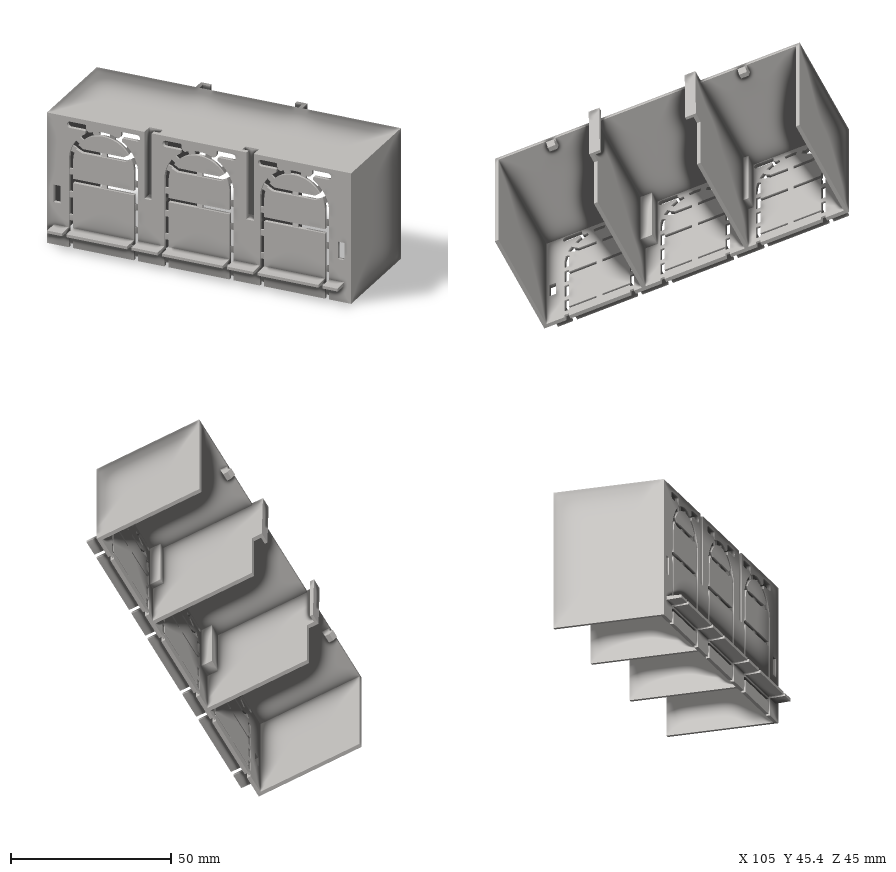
import cadquery as cq
import math


WIDTH = 105.0
DEPTH = 36.6
HEIGHT = 45.0
WALL = 1.3

POLE_PITCH = 33.0
POLES = (-POLE_PITCH, 0.0, POLE_PITCH)
WINDOW_RADIUS = 12.0
GAP = 1.5
PANEL_RADIUS = WINDOW_RADIUS - GAP
ARCH_Z = 30.0

LOW_GAP_Z = 4.1
LOW_GAP = 0.9
MID_GAP_Z = 22.5
TOP_GAP_Z = 33.4
TOP_GAP_LOW_FLAT = 7.6
TOP_GAP_LOW_ANGLE = 26.0
TOP_GAP_HIGH_FLAT = 7.0
TOP_GAP_HIGH_ANGLE = 34.0

BRIDGE = 2.0
BRIDGE_RECESS = 0.6
BRIDGE_STEP = 0.28
SIDE_BRIDGE_Z = 2.2
SIDE_BRIDGE_PITCH = 7.93
SIDE_BRIDGES = 4
ARCH_BRIDGE_ANGLES = (15.0, 49.0, 70.0)

LEDGE_HALF_WIDTH = 50.1
LEDGE_REACH = 4.9
LEDGE_TOP_Z = 6.9
LEDGE_ROOT = 1.3
LEDGE_TIP = 0.9
LEDGE_DROP = 0.1

VENT_OUTER_X = 12.6
VENT_INNER_X = 6.0
VENT_HEIGHT = 2.2
VENT_Z = 41.3
VENT_CORNER = 0.5
VENT_NECK_X = 6.4
VENT_NECK_RADIUS = 1.5
VENT_LIP = 0.4

SIDE_SLOT_X = 49.0
SIDE_SLOT_WIDTH = 2.3
SIDE_SLOT_Z = 14.6
SIDE_SLOT_HEIGHT = 6.0

HOOK_X = 18.4
HOOK_STEM = 1.3
HOOK_FOOT = 3.7
HOOK_REACH = 3.9
HOOK_LIP = 1.4
HOOK_BOTTOM_Z = 22.5
HOOK_DRAFT = 0.4
GROOVE_CLEARANCE = 0.5
GROOVE_NECK = 2.5
GROOVE_WIDTH = 4.6
GROOVE_MOUTH = 1.6
GROOVE_DEPTH = 3.8
GROOVE_FLOOR_Z = 21.9
GROOVE_LINER = 1.3

SNAP_WIDTH = 2.6
SNAP_REACH = 1.3
SNAP_TOP = 2.9
SNAP_PEAK = 3.6
SNAP_BOTTOM = 5.0
SNAP_ROOT = 2.6
SNAP_FACE_ANGLE = 15.7


def box(x0, x1, y0, y1, z0, z1):
    """Box between two opposite corners."""
    return cq.Workplane("XY").box(x1 - x0, y1 - y0, z1 - z0, centered=False).translate((x0, y0, z0))


def front_plane(y=0.0):
    """Workplane of front outlines (X, Z); a negative extrusion goes back into the part."""
    return cq.Workplane("XZ", origin=(0, y, 0))


def side_prism(points, x_middle, width):
    """(Y, Z) outline extruded along X, centred on x_middle."""
    return cq.Workplane("YZ", origin=(x_middle - width / 2, 0, 0)).polyline(points).close().extrude(width)


def arched_slab(radius, y=0.0):
    """Straight-sided slab with a round top, from y to the back of the front wall."""
    return (
        front_plane(y)
        .moveTo(-radius, 0)
        .lineTo(-radius, ARCH_Z)
        .threePointArc((0, ARCH_Z + radius), (radius, ARCH_Z))
        .lineTo(radius, 0)
        .close()
        .extrude(y - WALL)
    )


def ledge(x_middle, half_width):
    """Tapered ledge standing out of the front face."""
    points = [
        (0, LEDGE_TOP_Z),
        (-LEDGE_REACH, LEDGE_TOP_Z - LEDGE_DROP),
        (-LEDGE_REACH, LEDGE_TOP_Z - LEDGE_DROP - LEDGE_TIP),
        (0, LEDGE_TOP_Z - LEDGE_ROOT),
    ]
    return side_prism(points, x_middle, 2 * half_width)



def top_gap():
    """Cutter for the highest gap, straight in the middle and bent upward at both ends."""
    low_rise = (WINDOW_RADIUS - TOP_GAP_LOW_FLAT) * math.tan(math.radians(TOP_GAP_LOW_ANGLE))
    high_rise = (WINDOW_RADIUS - TOP_GAP_HIGH_FLAT) * math.tan(math.radians(TOP_GAP_HIGH_ANGLE))
    high_z = TOP_GAP_Z + GAP
    points = [
        (-WINDOW_RADIUS, TOP_GAP_Z + low_rise),
        (-TOP_GAP_LOW_FLAT, TOP_GAP_Z),
        (TOP_GAP_LOW_FLAT, TOP_GAP_Z),
        (WINDOW_RADIUS, TOP_GAP_Z + low_rise),
        (WINDOW_RADIUS, high_z + high_rise),
        (TOP_GAP_HIGH_FLAT, high_z),
        (-TOP_GAP_HIGH_FLAT, high_z),
        (-WINDOW_RADIUS, high_z + high_rise),
    ]
    return front_plane().polyline(points).close().extrude(-WALL)


def leaf_bridge(gap_z, gap_height):
    """Bridge between two leaves of a panel, its front face leaning back toward the top."""
    points = [
        (BRIDGE_RECESS - BRIDGE_STEP, gap_z),
        (WALL, gap_z),
        (WALL, gap_z + gap_height),
        (BRIDGE_RECESS, gap_z + gap_height),
    ]
    return side_prism(points, 0, BRIDGE)


def frame_bridges():
    """All bridges from one panel across the surrounding gap to the window edge."""
    bars = cq.Workplane("XY")
    for index in range(SIDE_BRIDGES):
        middle = SIDE_BRIDGE_Z + index * SIDE_BRIDGE_PITCH
        bars = bars.add(
            box(-WINDOW_RADIUS, WINDOW_RADIUS, BRIDGE_RECESS, WALL, middle - BRIDGE / 2, middle + BRIDGE / 2)
        )
    spoke = box(-BRIDGE / 2, BRIDGE / 2, BRIDGE_RECESS, WALL, ARCH_Z, ARCH_Z + WINDOW_RADIUS + GAP)
    for angle in ARCH_BRIDGE_ANGLES:
        for turn in (-angle, angle):
            bars = bars.add(spoke.rotate((0, 0, ARCH_Z), (0, 1, ARCH_Z), turn))
    ring = arched_slab(WINDOW_RADIUS, BRIDGE_RECESS).cut(arched_slab(PANEL_RADIUS, BRIDGE_RECESS))
    return ring.intersect(bars.combine())


def make_panel():
    """Break-out panel of the pole at X = 0."""
    leaves = arched_slab(PANEL_RADIUS).union(ledge(0, PANEL_RADIUS))
    for gap_z, gap_height in ((LOW_GAP_Z, LOW_GAP), (MID_GAP_Z, GAP)):
        leaves = leaves.cut(box(-PANEL_RADIUS, PANEL_RADIUS, 0, WALL, gap_z, gap_z + gap_height))
        leaves = leaves.union(leaf_bridge(gap_z, gap_height))
    leaves = leaves.cut(top_gap()).union(leaf_bridge(TOP_GAP_Z, GAP))
    return leaves.union(frame_bridges())



def shell():
    """Front wall, roof and side walls, open at the back and the bottom."""
    outer = box(-WIDTH / 2, WIDTH / 2, 0, DEPTH, 0, HEIGHT)
    inner_x = WIDTH / 2 - WALL
    return outer.cut(box(-inner_x, inner_x, WALL, DEPTH, 0, HEIGHT - WALL))


def vent():
    """Cutter for the left ventilation slot of the pole at X = 0, with its neck into the window."""
    end_radius = VENT_HEIGHT / 2
    top = VENT_Z + VENT_HEIGHT
    diagonal = math.sqrt(0.5)
    arc_x = -VENT_INNER_X + VENT_NECK_RADIUS
    arc_z = VENT_Z + end_radius
    corner_x = -VENT_INNER_X - VENT_CORNER
    corner_z = top - VENT_CORNER
    lip_x = -VENT_NECK_X - VENT_LIP
    lip_z = VENT_Z - VENT_LIP
    neck_end_z = ARCH_Z + PANEL_RADIUS * diagonal
    return (
        front_plane()
        .moveTo(-VENT_OUTER_X + end_radius, VENT_Z)
        .threePointArc((-VENT_OUTER_X, arc_z), (-VENT_OUTER_X + end_radius, top))
        .lineTo(corner_x, top)
        .threePointArc((corner_x + VENT_CORNER * diagonal, corner_z + VENT_CORNER * diagonal),
                       (-VENT_INNER_X, corner_z))
        .lineTo(-VENT_INNER_X, arc_z)
        .threePointArc((arc_x - VENT_NECK_RADIUS * diagonal, arc_z - VENT_NECK_RADIUS * diagonal),
                       (arc_x, arc_z - VENT_NECK_RADIUS))
        .lineTo(arc_x, neck_end_z)
        .lineTo(-VENT_NECK_X, neck_end_z)
        .lineTo(-VENT_NECK_X, lip_z)
        .threePointArc((lip_x + VENT_LIP * diagonal, lip_z + VENT_LIP * diagonal), (lip_x, VENT_Z))
        .close()
        .extrude(-WALL)
    )


def hook_rib():
    """Left hook and the full-height partition that carries it."""
    stem_x = -HOOK_X
    back = DEPTH + HOOK_REACH
    partition = box(stem_x, stem_x + HOOK_STEM, WALL, DEPTH, 0, HEIGHT)
    hook = box(stem_x, stem_x + HOOK_STEM, DEPTH, back, HOOK_BOTTOM_Z, HEIGHT).union(
        box(stem_x, stem_x + HOOK_FOOT, back - HOOK_LIP, back, HOOK_BOTTOM_Z, HEIGHT)
    )
    profile = [
        (DEPTH, HOOK_BOTTOM_Z),
        (back - HOOK_DRAFT, HOOK_BOTTOM_Z),
        (back, HEIGHT),
        (DEPTH, HEIGHT),
    ]
    return partition.union(hook.intersect(side_prism(profile, stem_x, 4 * HOOK_FOOT)))


def groove():
    """Cutter for the left L-shaped groove, open at the roof and the front."""
    left = -HOOK_X - GROOVE_CLEARANCE
    mouth = box(left, left + GROOVE_NECK, 0, GROOVE_DEPTH, GROOVE_FLOOR_Z, HEIGHT)
    return mouth.union(box(left, left + GROOVE_WIDTH, GROOVE_MOUTH, GROOVE_DEPTH, GROOVE_FLOOR_Z, HEIGHT))


def groove_boss():
    """Block behind the front wall that encloses the left groove."""
    left = -HOOK_X - GROOVE_CLEARANCE
    return box(
        left - GROOVE_LINER, left + GROOVE_WIDTH + GROOVE_LINER,
        0, GROOVE_DEPTH + GROOVE_LINER,
        GROOVE_FLOOR_Z - GROOVE_LINER, HEIGHT,
    )


def snap_finger(x_middle):
    """Finger with a barb that stands out of the open back."""
    root_y = DEPTH - SNAP_ROOT
    tip_y = root_y + (SNAP_BOTTOM - WALL) * math.tan(math.radians(SNAP_FACE_ANGLE))
    points = [
        (root_y, HEIGHT - WALL),
        (DEPTH, HEIGHT - WALL),
        (DEPTH, HEIGHT - SNAP_TOP),
        (DEPTH + SNAP_REACH, HEIGHT - SNAP_PEAK),
        (DEPTH, HEIGHT - SNAP_BOTTOM),
        (tip_y, HEIGHT - SNAP_BOTTOM),
    ]
    return side_prism(points, x_middle, SNAP_WIDTH)


def make_housing():
    """Complete housing with its windows open."""
    body = shell().union(ledge(0, LEDGE_HALF_WIDTH))

    boss = groove_boss().union(hook_rib()).cut(groove())
    body = body.cut(groove()).cut(groove().mirror("YZ")).union(boss).union(boss.mirror("YZ"))

    window = arched_slab(WINDOW_RADIUS).union(
        box(-WINDOW_RADIUS, WINDOW_RADIUS, -LEDGE_REACH, WALL, 0, LEDGE_TOP_Z)
    )
    window = window.union(vent()).union(vent().mirror("YZ"))
    for pole_x in POLES:
        body = body.cut(window.translate((pole_x, 0, 0)))

    for side in (-1, 1):
        middle = side * SIDE_SLOT_X
        body = body.cut(
            box(middle - SIDE_SLOT_WIDTH / 2, middle + SIDE_SLOT_WIDTH / 2,
                0, WALL, SIDE_SLOT_Z, SIDE_SLOT_Z + SIDE_SLOT_HEIGHT)
        )
        body = body.union(snap_finger(side * POLE_PITCH))
    return body


housing = make_housing()
panel = make_panel()
panels = [panel.translate((pole_x, 0, 0)).solids().val() for pole_x in POLES]

result = cq.Compound.makeCompound([housing.solids().val(), *panels])